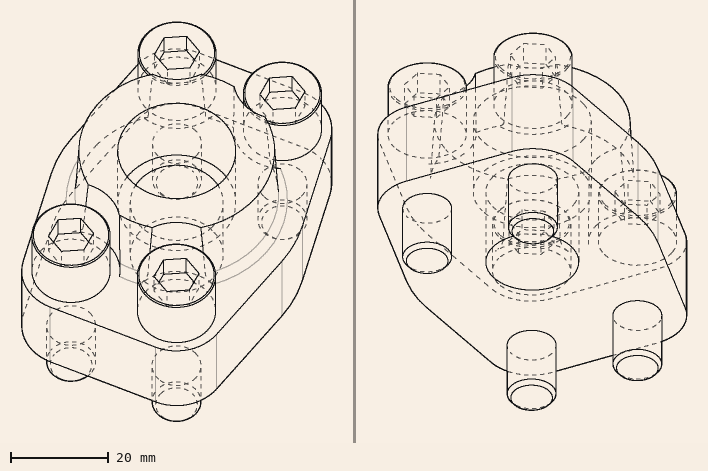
import cadquery as cq
import math


screw_pitch_x = 23.8
screw_pitch_y = 50.8
screw_x = screw_pitch_x / 2
screw_y = screw_pitch_y / 2

plate_width = 53.0
plate_length = 71.0
plate_thickness = 19.0
side_radius = plate_width / 2
corner_radius = plate_length / 2 - screw_y

hub_height = 17.0
hub_top_radius = 20.0
hub_draft = math.radians(3)
hub_root_fillet = 1.8
scallop_radius = 10.0

through_diameter = 19.0
socket_diameter = 24.12
socket_depth = 18.0

shank_diameter = 10.0
shank_length = 35.0
head_diameter = 16.0
head_height = 10.0
head_chamfer = 0.3
washer_thickness = 2.5
hex_across_flats = 8.0
hex_depth = 5.0
tip_chamfer_width = 0.75
tip_chamfer_height = 1.0

hub_top = plate_thickness + hub_height
head_top = plate_thickness + washer_thickness + head_height
shank_tip = plate_thickness + washer_thickness - shank_length


def make_plate():
    """Rounded plate whose straight flanks are tangent to the side and corner arcs."""
    centre_distance = math.hypot(screw_x, screw_y)
    corner_direction = math.atan2(screw_y, screw_x)
    tangent_angle = corner_direction - math.acos((side_radius - corner_radius) / centre_distance)
    mid_corner_angle = (tangent_angle + math.pi / 2) / 2

    side_end_x = side_radius * math.cos(tangent_angle)
    side_end_y = side_radius * math.sin(tangent_angle)
    flank_end_x = screw_x + corner_radius * math.cos(tangent_angle)
    flank_end_y = screw_y + corner_radius * math.sin(tangent_angle)
    corner_mid_x = screw_x + corner_radius * math.cos(mid_corner_angle)
    corner_mid_y = screw_y + corner_radius * math.sin(mid_corner_angle)
    end_y = plate_length / 2

    return (
        cq.Workplane("XY")
        .moveTo(side_end_x, -side_end_y)
        .threePointArc((side_radius, 0), (side_end_x, side_end_y))
        .lineTo(flank_end_x, flank_end_y)
        .threePointArc((corner_mid_x, corner_mid_y), (screw_x, end_y))
        .lineTo(-screw_x, end_y)
        .threePointArc((-corner_mid_x, corner_mid_y), (-flank_end_x, flank_end_y))
        .lineTo(-side_end_x, side_end_y)
        .threePointArc((-side_radius, 0), (-side_end_x, -side_end_y))
        .lineTo(-flank_end_x, -flank_end_y)
        .threePointArc((-corner_mid_x, -corner_mid_y), (-screw_x, -end_y))
        .lineTo(screw_x, -end_y)
        .threePointArc((corner_mid_x, -corner_mid_y), (flank_end_x, -flank_end_y))
        .close()
        .extrude(plate_thickness)
    )


def make_hub():
    """Drafted hub with a root fillet, scalloped to clear the screw heads."""
    base_radius = hub_top_radius + hub_height * math.tan(hub_draft)
    half_sweep = math.pi / 4 - hub_draft / 2
    tangent_length = hub_root_fillet * math.tan(half_sweep)
    foot_radius = base_radius + tangent_length
    fillet_top_radius = base_radius - tangent_length * math.sin(hub_draft)
    fillet_top_z = plate_thickness + tangent_length * math.cos(hub_draft)
    fillet_mid_radius = foot_radius - hub_root_fillet * math.sin(half_sweep)
    fillet_mid_z = plate_thickness + hub_root_fillet * (1 - math.cos(half_sweep))

    hub = (
        cq.Workplane("XZ")
        .moveTo(0, plate_thickness)
        .lineTo(foot_radius, plate_thickness)
        .threePointArc((fillet_mid_radius, fillet_mid_z), (fillet_top_radius, fillet_top_z))
        .lineTo(hub_top_radius, hub_top)
        .lineTo(0, hub_top)
        .close()
        .revolve(360, (0, 0, 0), (0, 1, 0))
    )
    scallops = (
        cq.Workplane("XY", origin=(0, 0, plate_thickness))
        .rect(screw_pitch_x, screw_pitch_y, forConstruction=True)
        .vertices()
        .circle(scallop_radius)
        .extrude(hub_height)
    )
    return hub.cut(scallops)


def make_bore():
    """Through bore with a wider socket from the hub face."""
    through = cq.Workplane("XY").circle(through_diameter / 2).extrude(hub_top)
    socket = (
        cq.Workplane("XY", origin=(0, 0, hub_top))
        .circle(socket_diameter / 2)
        .extrude(-socket_depth)
    )
    return through.union(socket)


def make_screw():
    """Socket cap screw on the Z axis, at its fitted height."""
    head_radius = head_diameter / 2
    shank_radius = shank_diameter / 2
    hex_circumdiameter = hex_across_flats / math.cos(math.pi / 6)

    body = (
        cq.Workplane("XZ")
        .moveTo(0, shank_tip)
        .lineTo(shank_radius - tip_chamfer_width, shank_tip)
        .lineTo(shank_radius, shank_tip + tip_chamfer_height)
        .lineTo(shank_radius, plate_thickness)
        .lineTo(head_radius, plate_thickness)
        .lineTo(head_radius, head_top - head_chamfer)
        .lineTo(head_radius - head_chamfer, head_top)
        .lineTo(0, head_top)
        .close()
        .revolve(360, (0, 0, 0), (0, 1, 0))
    )
    hex_socket = (
        cq.Workplane("XY", origin=(0, 0, head_top))
        .transformed(rotate=(0, 0, 90))
        .polygon(6, hex_circumdiameter)
        .extrude(-hex_depth)
    )
    return body.cut(hex_socket)


result = make_plate().union(make_hub()).cut(make_bore())

screw = make_screw()
for x in (-screw_x, screw_x):
    for y in (-screw_y, screw_y):
        result = result.union(screw.translate((x, y, 0)))